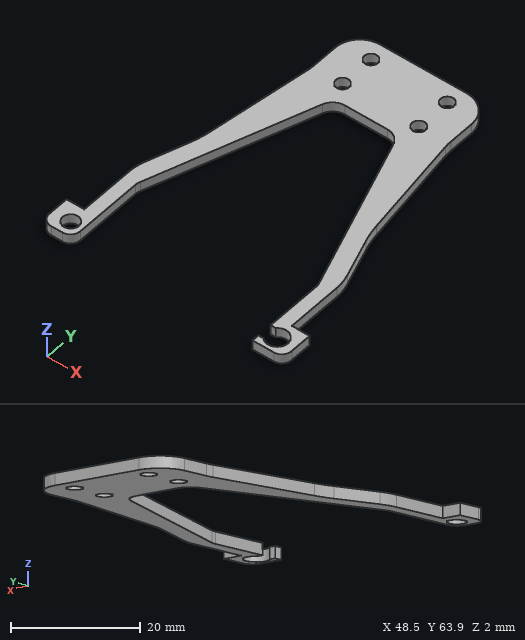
import cadquery as cq

length = 63.9
width = 48.5
thickness = 2.0

head_half_width = 13.6
head_corner_radius = 5.0
mount_half_spacing = 7.6
mount_rows = (53.4, 60.4)
mount_hole_diameter = 2.6

shoulder_y = 53.1
knee_half_width = 16.95
knee_y = 30.1
ankle_y = 19.0
shoulder_radius = 10.0
knee_radius = 19.8
ankle_radius = 10.0
leg_outer_x = 20.7

opening_half_width = 18.0
opening_bend_y = 16.05
opening_top_y = 49.85
opening_top_half_width = 6.4
opening_corner_radius = 3.0
opening_bend_radius = 3.0

foot_top_y = 6.4
closed_foot_end_y = 0.2
foot_corner_radius = 2.0
eye_x = 20.6
eye_y = 2.95
closed_eye_diameter = 3.2
open_eye_diameter = 4.2
slot_width = 2.95

foot_outer_x = width / 2


def round_edges(body, points, radius):
    """Round the upright edges standing at the given XY points."""
    for x, y in points:
        edge = cq.selectors.NearestToPointSelector((x, y, thickness / 2))
        body = body.edges("|Z").edges(edge).fillet(radius)
    return body


def both_sides(x, y):
    return [(-x, y), (x, y)]


def make_outline():
    """Flat frame with the head at the top and one leg on each side."""
    right_side = [
        (head_half_width, length),
        (head_half_width, shoulder_y),
        (knee_half_width, knee_y),
        (leg_outer_x, ankle_y),
        (leg_outer_x, foot_top_y),
        (foot_outer_x, foot_top_y),
        (foot_outer_x, 0),
        (opening_half_width, 0),
        (opening_half_width, opening_bend_y),
        (opening_top_half_width, opening_top_y),
    ]
    left_side = [(-x, y) for x, y in reversed(right_side)]
    body = cq.Workplane("XY").polyline(right_side + left_side).close().extrude(thickness)

    trim = cq.Workplane("XY").rect(foot_outer_x, closed_foot_end_y, centered=False).extrude(thickness)
    return body.cut(trim.translate((-foot_outer_x, 0, 0)))


def round_corners(body):
    body = round_edges(body, both_sides(head_half_width, length), head_corner_radius)
    body = round_edges(body, both_sides(head_half_width, shoulder_y), shoulder_radius)
    body = round_edges(body, both_sides(knee_half_width, knee_y), knee_radius)
    body = round_edges(body, both_sides(leg_outer_x, ankle_y), ankle_radius)
    body = round_edges(body, both_sides(opening_half_width, opening_bend_y), opening_bend_radius)
    body = round_edges(body, both_sides(opening_top_half_width, opening_top_y), opening_corner_radius)
    foot_corners = [
        (-foot_outer_x, closed_foot_end_y),
        (-opening_half_width, closed_foot_end_y),
        (foot_outer_x, 0),
    ]
    return round_edges(body, foot_corners, foot_corner_radius)


def through_holes(points, diameter):
    return cq.Workplane("XY").pushPoints(points).circle(diameter / 2).extrude(thickness)


def make_open_eye():
    """Round eye with a slot leading in from the opening between the legs."""
    slot_length = eye_x - opening_half_width
    slot = (
        cq.Workplane("XY")
        .center(eye_x - slot_length / 2, eye_y)
        .rect(slot_length, slot_width)
        .extrude(thickness)
    )
    return through_holes([(eye_x, eye_y)], open_eye_diameter).union(slot)


mount_points = [point for y in mount_rows for point in both_sides(mount_half_spacing, y)]

result = round_corners(make_outline())
result = result.cut(through_holes(mount_points, mount_hole_diameter))
result = result.cut(through_holes([(-eye_x, eye_y)], closed_eye_diameter))
result = result.cut(make_open_eye())